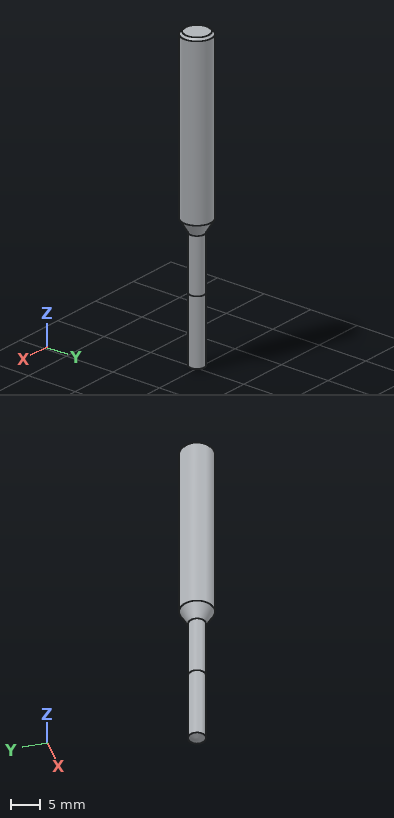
import cadquery as cq

total_length = 62.0
shank_diameter = 6.0
neck_diameter = shank_diameter / 2
top_chamfer = 0.5

point_height = 0.5
cutter_top = 13.9
neck_top = 25.0
shank_bottom = 27.6

shank_radius = shank_diameter / 2
neck_radius = neck_diameter / 2
cutter_radius = neck_radius


def revolve_profile(points):
    """Revolve a closed (radius, height) outline about the Z axis."""
    return cq.Workplane("XZ").polyline(points).close().revolve(360, (0, 0), (0, 1))


def make_holder():
    """Chamfered shank tapering down to a slender neck."""
    return revolve_profile([
        (0, cutter_top),
        (neck_radius, cutter_top),
        (neck_radius, neck_top),
        (shank_radius, shank_bottom),
        (shank_radius, total_length - top_chamfer),
        (shank_radius - top_chamfer, total_length),
        (0, total_length),
    ])


def make_cutter():
    """Cylindrical cutting end with a shallow conical point."""
    return revolve_profile([
        (0, 0),
        (cutter_radius, point_height),
        (cutter_radius, cutter_top),
        (0, cutter_top),
    ])


holder = make_holder()
cutter = make_cutter()

result = cq.Compound.makeCompound([holder.val(), cutter.val()])